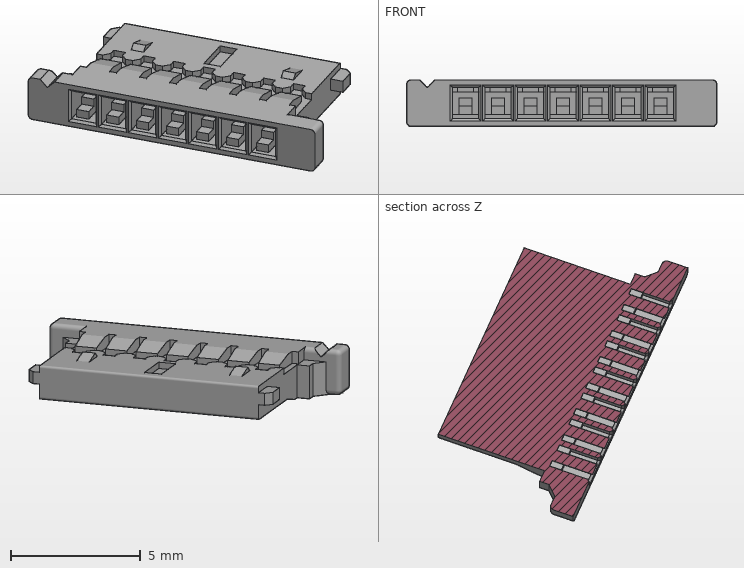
import cadquery as cq


CONTACT_COUNT = 7
CONTACT_ROW = 7.5
PITCH = CONTACT_ROW / (CONTACT_COUNT - 1)

FLANGE_WIDTH = 11.97
FLANGE_DEPTH = 1.0
HEIGHT = 1.8
FLANGE_FILLET = 0.19
KEY_X = -5.18
KEY_DEPTH = 0.3

LENGTH = 6.2
BODY_WIDTH = 8.98
BODY_BOTTOM = 0.23
BODY_TOP = 1.57
REAR_FILLET = 0.1
RAMP_FRONT = 2.06
RAMP_REAR = 2.96

LEDGE_Z = 1.32
HOOD_REAR = 1.65
COVER_FRONT = 3.28
FINGER_ROOT_WIDTH = 0.97
FINGER_TIP_WIDTH = 0.87

NOTCH_MOUTH_WIDTH = 0.96
NOTCH_WIDTH = 0.48
NOTCH_SHOULDER = COVER_FRONT + (NOTCH_MOUTH_WIDTH - NOTCH_WIDTH) / 2
NOTCH_REAR = 3.82

RECESS_WIDTH = 0.7
RECESS_FRONT = 4.1
RECESS_REAR = 5.73

WEDGE_X = 2.5 * PITCH
WEDGE_WIDTH = 0.51
WEDGE_FRONT = 4.1
WEDGE_RIDGE = 4.33
WEDGE_REAR = 5.02
WEDGE_TOP = 1.76

EAR_SPAN = 10.0
FRONT_EAR_REAR = 1.8
FRONT_EAR_SLOPE_START = 1.4
REAR_EAR_FRONT = 5.2
REAR_EAR_BOTTOM = 0.84
REAR_EAR_CHAMFER = 0.25

CAVITY_SHIFT = 0.05
CAVITY_WIDTH = 1.0
CAVITY_BOTTOM = 0.3
CAVITY_TOP = 1.5
CAVITY_LEAD_IN = 0.1
CAVITY_DEPTH = 1.2
INNER_DEPTH = 1.68
KEYWAY_WIDTH = 0.61
KEYWAY_BOTTOM = 1.32
KEYWAY_DEPTH = 1.44

CONTACT_WIDTH = 0.5
CONTACT_BOTTOM = 0.47
TONGUE_TOP = 0.79
BLOCK_TOP = 1.1
BLOCK_FRONT = 0.5


def block(width, y_range, z_range, x=0):
    """Box centred on x, spanning the given Y and Z ranges."""
    depth = y_range[1] - y_range[0]
    height = z_range[1] - z_range[0]
    corner = (x - width / 2, y_range[0], z_range[0])
    return cq.Workplane("XY").box(width, depth, height, centered=False).translate(corner)


def plan_prism(points, z_range):
    """Plan outline of (x, y) points raised over a Z range."""
    height = z_range[1] - z_range[0]
    return cq.Workplane("XY").workplane(offset=z_range[0]).polyline(points).close().extrude(height)


def side_prism(points, width, x=0):
    """Side outline of (y, z) points, as wide as given and centred on x."""
    return cq.Workplane("YZ").workplane(offset=x - width / 2).polyline(points).close().extrude(width)


def make_flange():
    flange = block(FLANGE_WIDTH, (0, FLANGE_DEPTH), (0, HEIGHT))
    return flange.edges("|Y or >Y").fillet(FLANGE_FILLET)


def make_body():
    profile = [
        (0, 0),
        (RAMP_FRONT, 0),
        (RAMP_REAR, BODY_BOTTOM),
        (LENGTH, BODY_BOTTOM),
        (LENGTH, BODY_TOP),
        (RAMP_REAR, BODY_TOP),
        (RAMP_FRONT, HEIGHT),
        (0, HEIGHT),
    ]
    body = side_prism(profile, BODY_WIDTH).faces(">Y").edges("|X").fillet(REAR_FILLET)
    ledge = block(BODY_WIDTH, (HOOD_REAR, COVER_FRONT), (LEDGE_Z, HEIGHT))
    for x in contact_positions:
        ledge = ledge.cut(finger(x))
    return body.cut(ledge)


def finger(x):
    """Tapered plan of one hood finger, reaching back over the ledge."""
    root = FINGER_ROOT_WIDTH / 2
    tip = FINGER_TIP_WIDTH / 2
    points = [(x - root, HOOD_REAR), (x + root, HOOD_REAR), (x + tip, RAMP_REAR), (x - tip, RAMP_REAR)]
    return plan_prism(points, (LEDGE_Z, HEIGHT))


def cover_notch(x):
    mouth = NOTCH_MOUTH_WIDTH / 2
    neck = NOTCH_WIDTH / 2
    points = [
        (x - mouth, COVER_FRONT),
        (x - neck, NOTCH_SHOULDER),
        (x - neck, NOTCH_REAR),
        (x + neck, NOTCH_REAR),
        (x + neck, NOTCH_SHOULDER),
        (x + mouth, COVER_FRONT),
    ]
    return plan_prism(points, (LEDGE_Z, HEIGHT))


def locking_wedge(x):
    points = [(WEDGE_FRONT, BODY_TOP), (WEDGE_RIDGE, WEDGE_TOP), (WEDGE_REAR, BODY_TOP)]
    return side_prism(points, WEDGE_WIDTH, x)


def front_ears():
    half_span = EAR_SPAN / 2
    half_base = half_span + FRONT_EAR_SLOPE_START - FLANGE_DEPTH / 2
    points = [
        (-half_base, FLANGE_DEPTH / 2),
        (half_base, FLANGE_DEPTH / 2),
        (half_span, FRONT_EAR_SLOPE_START),
        (half_span, FRONT_EAR_REAR),
        (-half_span, FRONT_EAR_REAR),
        (-half_span, FRONT_EAR_SLOPE_START),
    ]
    return plan_prism(points, (0, LEDGE_Z))


def rear_ears():
    ears = block(EAR_SPAN, (REAR_EAR_FRONT, LENGTH), (REAR_EAR_BOTTOM, LEDGE_Z))
    return ears.faces(">Y").edges("|Z").chamfer(REAR_EAR_CHAMFER)


def key_notch():
    points = [(KEY_X - KEY_DEPTH, HEIGHT), (KEY_X + KEY_DEPTH, HEIGHT), (KEY_X, HEIGHT - KEY_DEPTH)]
    return cq.Workplane("XZ").polyline(points).close().extrude(-FLANGE_DEPTH)


def cavity(x):
    """Room around one contact: a flared mouth, the main room, a deeper middle and a top keyway."""
    middle_z = (CAVITY_BOTTOM + CAVITY_TOP) / 2
    height = CAVITY_TOP - CAVITY_BOTTOM
    mouth = (
        cq.Workplane("XZ", origin=(x, 0, middle_z))
        .rect(CAVITY_WIDTH + 2 * CAVITY_LEAD_IN, height + 2 * CAVITY_LEAD_IN)
        .workplane(offset=-CAVITY_LEAD_IN)
        .rect(CAVITY_WIDTH, height)
        .loft(ruled=True)
    )
    room = block(CAVITY_WIDTH, (0, CAVITY_DEPTH), (CAVITY_BOTTOM, CAVITY_TOP), x)
    middle = block(CAVITY_WIDTH, (0, INNER_DEPTH), (CONTACT_BOTTOM, KEYWAY_BOTTOM), x)
    keyway = block(KEYWAY_WIDTH, (0, KEYWAY_DEPTH), (KEYWAY_BOTTOM, CAVITY_TOP), x)
    return mouth.union(room).union(middle).union(keyway)


def contact(x):
    tongue = block(CONTACT_WIDTH, (0, INNER_DEPTH), (CONTACT_BOTTOM, TONGUE_TOP), x)
    return tongue.union(block(CONTACT_WIDTH, (BLOCK_FRONT, INNER_DEPTH), (CONTACT_BOTTOM, BLOCK_TOP), x))


contact_positions = [PITCH * i - CONTACT_ROW / 2 for i in range(CONTACT_COUNT)]

housing = make_body().union(make_flange()).union(front_ears()).union(rear_ears())
housing = housing.cut(key_notch())
housing = housing.cut(block(RECESS_WIDTH, (RECESS_FRONT, RECESS_REAR), (LEDGE_Z, HEIGHT)))

for side in (-1, 1):
    housing = housing.union(locking_wedge(side * WEDGE_X))

for x in contact_positions:
    housing = housing.cut(cover_notch(x))
    cavity_x = x + CAVITY_SHIFT
    housing = housing.cut(cavity(cavity_x).cut(contact(cavity_x)))

result = housing